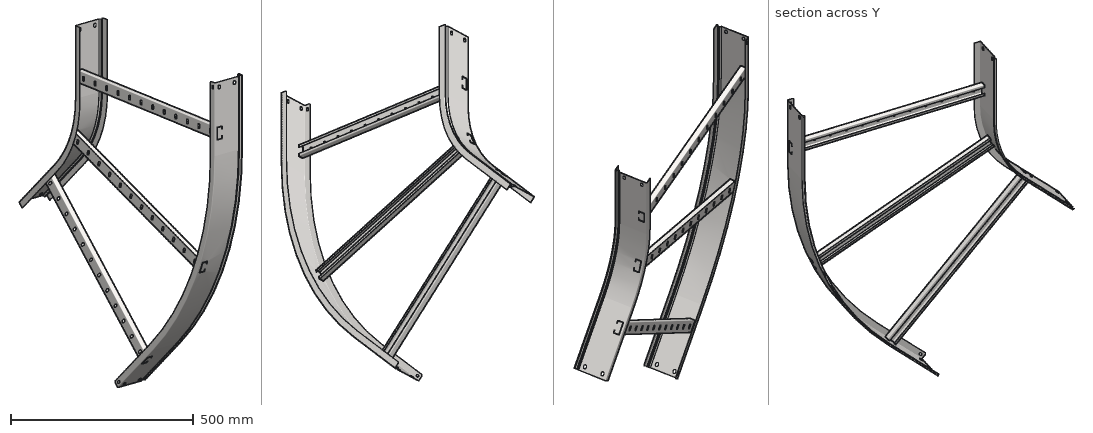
import cadquery as cq
import math


BEND_ANGLE = 45.0
INNER_RADIUS = 306.0
LADDER_WIDTH = 600.0
OUTER_RADIUS = INNER_RADIUS + LADDER_WIDTH
MIDDLE_RADIUS = (INNER_RADIUS + OUTER_RADIUS) / 2
STRAIGHT_LENGTH = 214.0

SHEET = 1.5
BEND_RADIUS = 2.0
INSIDE_BEND = BEND_RADIUS - SHEET
CUT_REACH = 2 * SHEET
UPRIGHT = 90

RAIL_DEPTH = 100.0
FLANGE_WIDTH = 20.0
FLANGE_CORNER = 5.0
GROOVE_DEPTH = 5.0
GROOVE_FLOOR = 3.0
GROOVE_START = RAIL_DEPTH - 14.0
GROOVE_END = RAIL_DEPTH - 4.0
GROOVE_MIDDLE = (GROOVE_START + GROOVE_END) / 2
FLOOR_START = GROOVE_MIDDLE - GROOVE_FLOOR / 2
FLOOR_END = GROOVE_MIDDLE + GROOVE_FLOOR / 2

END_DISTANCE = 15.0
WEB_SLOT_LENGTH = 11.0
WEB_SLOT_WIDTH = 8.0
WEB_SLOT_PLACES = (16.0, 70.0)
FLANGE_SLOT_LENGTH = 10.0
FLANGE_SLOT_WIDTH = 6.0
FLANGE_SLOT_INSET = FLANGE_WIDTH / 2

RUNG_WIDTH = 37.0
RUNG_DEPTH = 18.0
RUNG_FRONT = 8.0
RUNG_LIP = 9.0
RUNG_TO_BEND = 64.0
RUNG_OVERRUN = 10.0
RUNG_SLOT_COUNT = 12
RUNG_SLOT_LENGTH = 14.0
RUNG_SLOT_WIDTH = 7.0
FIRST_SLOT_INSET = 26.0
LAST_SLOT_INSET = 30.0
SLOT_PITCH = (LADDER_WIDTH - FIRST_SLOT_INSET - LAST_SLOT_INSET) / (RUNG_SLOT_COUNT - 1)


def turn(body, angle):
    """Swing a body around the bend axis, from the upper straight towards the lower one."""
    return body.rotate((0, 0, 0), (0, 1, 0), angle)


def bend_between(straight, section):
    """Join a straight stretch to its mirror image by sweeping the section around the bend."""
    bend = cq.Workplane("XY").placeSketch(section).revolve(BEND_ANGLE, (0, 0), (0, 1))
    lower_straight = turn(straight.mirror("XY"), BEND_ANGLE)
    return straight.union(bend).union(lower_straight)


def near(x, y):
    """Selector for the section corner at (x, y)."""
    reach = SHEET / 3
    return cq.selectors.BoxSelector((x - reach, y - reach, -reach), (x + reach, y + reach, reach))


def rail_section(web_x, inward):
    """Channel section in the XY plane; inward (+1 or -1) is the X direction of its flanges."""
    wall_run = FLOOR_START - GROOVE_START
    wall_length = math.hypot(wall_run, GROOVE_DEPTH)
    shift = SHEET * (wall_length - wall_run) / GROOVE_DEPTH
    outer_skin = [
        (0, RAIL_DEPTH),
        (0, GROOVE_END),
        (GROOVE_DEPTH, FLOOR_END),
        (GROOVE_DEPTH, FLOOR_START),
        (0, GROOVE_START),
        (0, 0),
    ]
    front_edge = [(FLANGE_WIDTH, 0), (FLANGE_WIDTH, SHEET)]
    inner_skin = [
        (SHEET, SHEET),
        (SHEET, GROOVE_START - shift),
        (GROOVE_DEPTH + SHEET, FLOOR_START - shift),
        (GROOVE_DEPTH + SHEET, FLOOR_END + shift),
        (SHEET, GROOVE_END + shift),
        (SHEET, RAIL_DEPTH - SHEET),
    ]
    back_edge = [(FLANGE_WIDTH, RAIL_DEPTH - SHEET), (FLANGE_WIDTH, RAIL_DEPTH)]
    outline = outer_skin + front_edge + inner_skin + back_edge + outer_skin[:1]
    section = cq.Sketch().polygon([(web_x + inward * x, y) for x, y in outline])

    for fold_y, inside_y in ((0, SHEET), (RAIL_DEPTH, RAIL_DEPTH - SHEET)):
        section = section.vertices(near(web_x, fold_y)).fillet(BEND_RADIUS).reset()
        section = section.vertices(near(web_x + inward * SHEET, inside_y)).fillet(INSIDE_BEND).reset()
    return section


def web_slots(web_x):
    """Cutter for the two bolt slots through the web at the end of a straight stretch."""
    centres = [(y, STRAIGHT_LENGTH - END_DISTANCE) for y in WEB_SLOT_PLACES]
    plane = cq.Workplane("YZ", origin=(web_x, 0, 0)).pushPoints(centres)
    return plane.slot2D(WEB_SLOT_LENGTH, WEB_SLOT_WIDTH, UPRIGHT).extrude(CUT_REACH, both=True)


def flange_slot(web_x, inward):
    """Cutter for the slot through the front flange at the end of a straight stretch."""
    centre = (web_x + inward * FLANGE_SLOT_INSET, STRAIGHT_LENGTH - END_DISTANCE)
    plane = cq.Workplane("XZ").center(*centre)
    return plane.slot2D(FLANGE_SLOT_LENGTH, FLANGE_SLOT_WIDTH, UPRIGHT).extrude(CUT_REACH, both=True)


def make_rail(web_x, inward, has_flange_details):
    """Side rail: a bend between two mirror-image straight stretches."""
    section = rail_section(web_x, inward)
    straight = cq.Workplane("XY").placeSketch(section).extrude(STRAIGHT_LENGTH)
    straight = straight.cut(web_slots(web_x))
    if has_flange_details:
        free_edge = ">X" if inward > 0 else "<X"
        straight = straight.faces(free_edge).edges(">Z").fillet(FLANGE_CORNER)
        straight = straight.cut(flange_slot(web_x, inward))
    return bend_between(straight, section)


def rung_bar():
    """Lipped channel along X, open at the back, with a row of slots in its front wall."""
    length = LADDER_WIDTH + 2 * RUNG_OVERRUN
    bar = cq.Workplane("XY").box(length, RUNG_DEPTH, RUNG_WIDTH).edges("|X").fillet(BEND_RADIUS)
    hollow = cq.Workplane("XY").box(length, RUNG_DEPTH - 2 * SHEET, RUNG_WIDTH - 2 * SHEET)
    hollow = hollow.edges("|X").fillet(INSIDE_BEND)
    mouth = cq.Workplane("XY").box(length, RUNG_DEPTH, RUNG_WIDTH - 2 * RUNG_LIP)
    mouth = mouth.translate((0, RUNG_DEPTH / 2, 0))
    bar = bar.cut(hollow).cut(mouth)
    bar = bar.translate((MIDDLE_RADIUS, RUNG_FRONT + RUNG_DEPTH / 2, 0))

    first_slot = INNER_RADIUS + FIRST_SLOT_INSET
    centres = [(first_slot + i * SLOT_PITCH, 0) for i in range(RUNG_SLOT_COUNT)]
    plane = cq.Workplane("XZ", origin=(0, RUNG_FRONT, 0)).pushPoints(centres)
    slots = plane.slot2D(RUNG_SLOT_LENGTH, RUNG_SLOT_WIDTH, UPRIGHT).extrude(CUT_REACH, both=True)
    return bar.cut(slots)


def ladder_space():
    """Space between the outsides of the two webs, along the whole path."""
    section = cq.Sketch().push([(MIDDLE_RADIUS, RAIL_DEPTH / 2)])
    section = section.rect(LADDER_WIDTH, RAIL_DEPTH)
    straight = cq.Workplane("XY").placeSketch(section).extrude(STRAIGHT_LENGTH)
    return bend_between(straight, section)


def make_rung(height, angle):
    """Rung moved up the straight by height, swung by angle and ended flush with both webs."""
    rung = turn(rung_bar().translate((0, 0, height)), angle)
    return rung.intersect(ladder_space())


rung_places = [(RUNG_TO_BEND, 0), (0, BEND_ANGLE / 2), (-RUNG_TO_BEND, BEND_ANGLE)]
rungs = [make_rung(height, angle) for height, angle in rung_places]

inner_rail = make_rail(INNER_RADIUS, 1, has_flange_details=False)
outer_rail = make_rail(OUTER_RADIUS, -1, has_flange_details=True)
for rung in rungs:
    inner_rail = inner_rail.cut(rung)
    outer_rail = outer_rail.cut(rung)

rung_solids = [rung.val() for rung in rungs]
result = cq.Compound.makeCompound([inner_rail.val(), outer_rail.val(), *rung_solids])